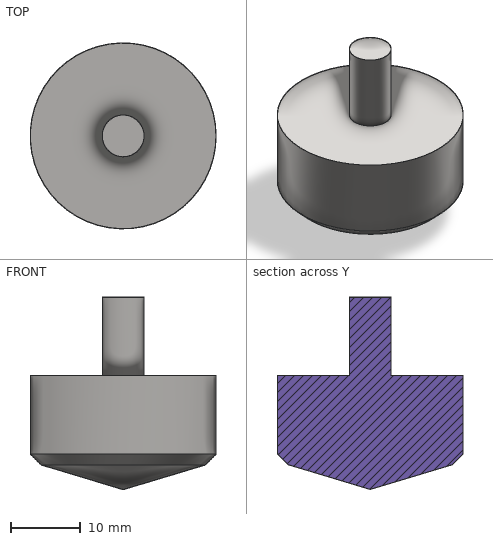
import cadquery as cq

total_height = 27.6
body_diameter = 26.65
pin_diameter = 6.0
pin_length = 11.23
chamfer_size = 1.57
cone_height = 3.53

body_radius = body_diameter / 2
pin_radius = pin_diameter / 2
cone_radius = body_radius - chamfer_size
body_bottom = cone_height + chamfer_size
body_top = total_height - pin_length

half_section = (
    cq.Workplane("XZ")
    .moveTo(0, 0)
    .lineTo(cone_radius, cone_height)
    .lineTo(body_radius, body_bottom)
    .lineTo(body_radius, body_top)
    .lineTo(pin_radius, body_top)
    .lineTo(pin_radius, total_height)
    .lineTo(0, total_height)
    .close()
)

result = half_section.revolve(360, (0, 0, 0), (0, 1, 0))